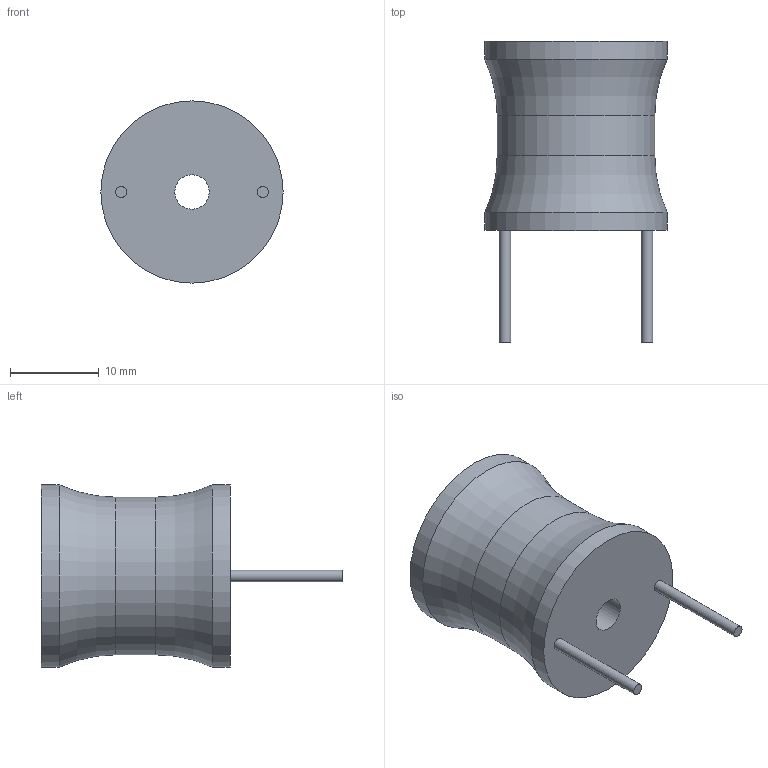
import cadquery as cq
import math

flange_diameter = 20.57
waist_diameter = 17.78
body_length = 21.34
flange_thickness = 2.03
waist_length = 4.5
bore_diameter = 3.88

pin_diameter = 1.29
pin_length = 12.7
pin_spacing = 16.0

flange_radius = flange_diameter / 2
waist_radius = waist_diameter / 2
bore_radius = bore_diameter / 2

flare_length = (body_length - waist_length) / 2 - flange_thickness
flare_rise = flange_radius - waist_radius
flare_radius = (flare_length**2 + flare_rise**2) / (2 * flare_rise)
flare_angle = math.asin(flare_length / flare_radius)

waist_start = flange_thickness + flare_length
waist_end = waist_start + waist_length

flare_mid_offset = flare_radius * math.sin(flare_angle / 2)
flare_mid_radius = waist_radius + flare_radius * (1 - math.cos(flare_angle / 2))


def make_drum():
    """Flanged, waisted drum with its through bore, revolved about Y from the -X side."""
    return (
        cq.Workplane("XY")
        .moveTo(-bore_radius, 0)
        .lineTo(-flange_radius, 0)
        .lineTo(-flange_radius, flange_thickness)
        .threePointArc((-flare_mid_radius, waist_start - flare_mid_offset), (-waist_radius, waist_start))
        .lineTo(-waist_radius, waist_end)
        .threePointArc(
            (-flare_mid_radius, waist_end + flare_mid_offset),
            (-flange_radius, body_length - flange_thickness),
        )
        .lineTo(-flange_radius, body_length)
        .lineTo(-bore_radius, body_length)
        .close()
        .revolve(360, (0, 0, 0), (0, 1, 0))
    )


def make_pins():
    """Pair of terminal pins extending from the terminal face toward -Y."""
    return (
        cq.Workplane("XZ")
        .pushPoints([(-pin_spacing / 2, 0), (pin_spacing / 2, 0)])
        .circle(pin_diameter / 2)
        .extrude(pin_length)
    )


result = make_drum().union(make_pins())